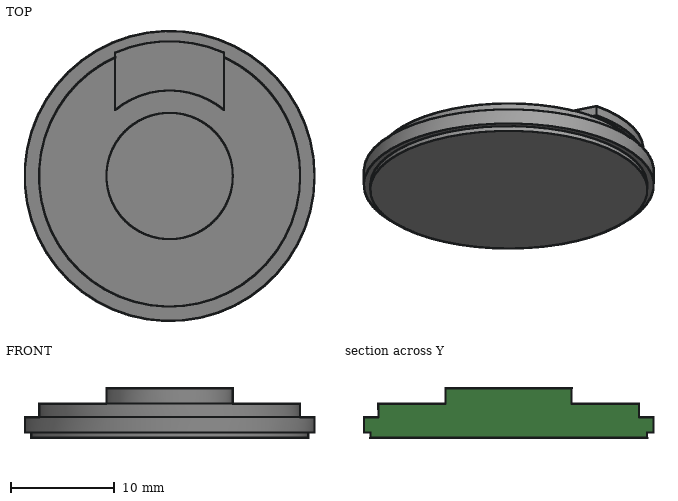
import cadquery as cq

base_diameter = 26.75
base_height = 0.5
flange_diameter = 28.0
flange_height = 1.5
step_diameter = 25.2
step_height = 1.3
boss_diameter = 12.2
boss_height = 1.5

tab_outer_radius = 13.0
tab_inner_radius = 8.25
tab_width = 10.5
tab_height = 1.0

flange_bottom = base_height
step_bottom = flange_bottom + flange_height
step_top = step_bottom + step_height


def disc(diameter, height, bottom):
    """Solid disc centred on the Z axis, starting at the given height."""
    return cq.Workplane("XY").workplane(offset=bottom).circle(diameter / 2).extrude(height)


def tab():
    """Ring segment trimmed to the tab width; it overhangs the step's rim slightly."""
    ring = (
        cq.Workplane("XY")
        .workplane(offset=step_top)
        .circle(tab_outer_radius)
        .circle(tab_inner_radius)
        .extrude(tab_height)
    )
    trim = (
        cq.Workplane("XY")
        .workplane(offset=step_top)
        .center(0, tab_outer_radius / 2)
        .rect(tab_width, tab_outer_radius)
        .extrude(tab_height)
    )
    return ring.intersect(trim)


result = (
    disc(base_diameter, base_height, 0)
    .union(disc(flange_diameter, flange_height, flange_bottom))
    .union(disc(step_diameter, step_height, step_bottom))
    .union(disc(boss_diameter, boss_height, step_top))
    .union(tab())
)